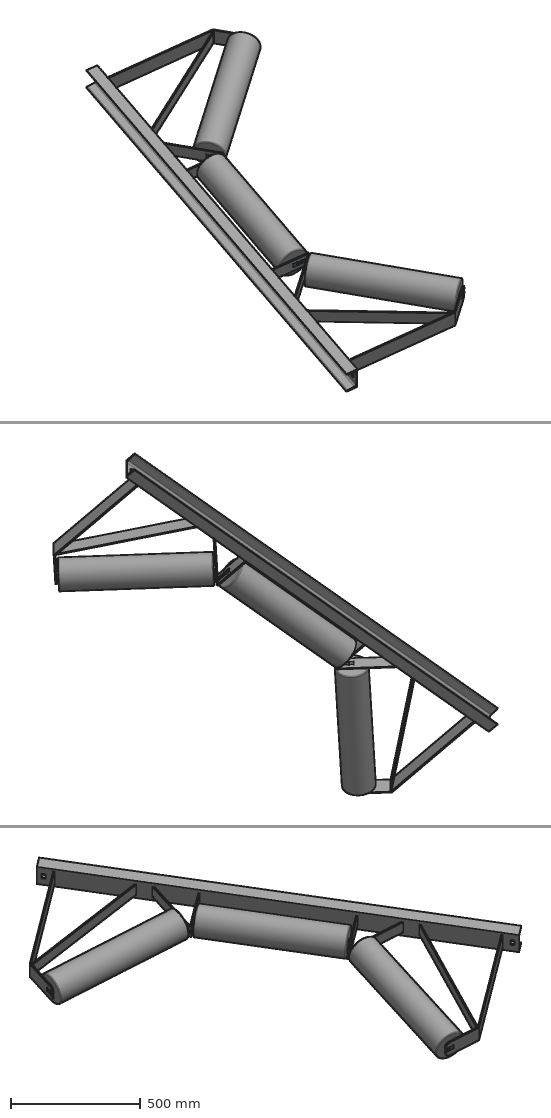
import cadquery as cq
import math


beam_length = 1900.0
beam_height = 100.0
beam_width = 50.0
web_thickness = 6.0
flange_thickness = 8.5
flange_slope = 0.08
root_radius = 8.5
toe_radius = 4.5
mount_slot_width = 17.0
mount_slot_height = 28.0
mount_slot_x = 923.0

roller_radius = 66.0
roller_length = 600.0
roller_edge = 4.0
tongue = 17.0
trough_angle = 45.0
center_roller_y = 163.0
wing_roller_x = 574.0
wing_roller_y = 405.0

plate = 6.0
end_gap = 8.0
outer_plate_width = 75.0
inner_plate_width = 59.0
strut_width = 59.0
leg_x = 885.0
tip_reach = 30.0
tip_radius = 23.0
apex_y = 226.0
strut_foot_x = 560.0

plate_near = roller_length / 2 + end_gap
plate_far = plate_near + plate
plate_middle = plate_near + plate / 2
tilt = math.radians(trough_angle)
along = (math.cos(tilt), math.sin(tilt))
across = (-math.sin(tilt), math.cos(tilt))


def wing_point(u, v):
    """XY point at u along and v across the right wing roller axis."""
    return (
        wing_roller_x + u * along[0] + v * across[0],
        wing_roller_y + u * along[1] + v * across[1],
    )


def wing_point_at_x(u, x):
    """Point with the given X on the line across the wing axis at u."""
    return wing_point(u, (x - wing_point(u, 0)[0]) / across[0])


def wing_point_at_y(u, y):
    """Point with the given Y on the line across the wing axis at u."""
    return wing_point(u, (y - wing_point(u, 0)[1]) / across[1])


def place_on_center(shape):
    """Move a shape built about the origin along X onto the center roller axis."""
    return shape.translate((0, center_roller_y, 0))


def place_on_wing(shape):
    """Move a shape built about the origin along X onto the right wing roller axis."""
    turned = shape.rotate((0, 0, 0), (0, 0, 1), trough_angle)
    return turned.translate((wing_roller_x, wing_roller_y, 0))


def extrude_outline(points, width):
    """Plate with the given XY outline and its width centered on Z = 0."""
    return cq.Workplane("XY").workplane(offset=-width / 2).polyline(points).close().extrude(width)


def fillet_edge_at(shape, point, radius):
    """Fillet the one edge whose middle is nearest to the point."""
    return shape.edges(cq.selectors.NearestToPointSelector(point)).fillet(radius)


def make_beam():
    half_height = beam_height / 2
    web_y = beam_width - web_thickness
    toe_z = half_height - flange_thickness + flange_slope * beam_width / 2
    root_z = toe_z - flange_slope * web_y
    section = [
        (0, half_height),
        (beam_width, half_height),
        (beam_width, -half_height),
        (0, -half_height),
        (0, -toe_z),
        (web_y, -root_z),
        (web_y, root_z),
        (0, toe_z),
    ]
    start = cq.Workplane("YZ").workplane(offset=-beam_length / 2)
    beam = start.polyline(section).close().extrude(beam_length)
    for side in (-1, 1):
        beam = fillet_edge_at(beam, (0, web_y, side * root_z), root_radius)
        beam = fillet_edge_at(beam, (0, 0, side * toe_z), toe_radius)
    slots = (
        cq.Workplane("XZ")
        .pushPoints([(-mount_slot_x, 0), (mount_slot_x, 0)])
        .slot2D(mount_slot_height, mount_slot_width, 90)
        .extrude(-beam_width)
    )
    return beam.cut(slots)


def make_roller():
    """Roller along X about the origin, with square shaft ends flush with the plates' far faces."""
    start = cq.Workplane("YZ").workplane(offset=-roller_length / 2)
    barrel = start.circle(roller_radius).extrude(roller_length)
    barrel = barrel.edges("%CIRCLE").fillet(roller_edge)
    shaft = cq.Workplane("XY").box(2 * plate_far, tongue, tongue)
    return barrel.union(shaft)


def shaft_slot(u, reach):
    """Cutter at u along X that seats a shaft end and stays open up to reach."""
    depth = reach + tongue / 2
    return cq.Workplane("XY").box(2 * plate, depth, tongue).translate((u, reach - depth / 2, 0))


def make_outer_bracket():
    """Leg on the beam, bent at the top to hold the upper end of the right wing roller."""
    leg_inner_x = leg_x - plate
    outline = [
        (leg_x, beam_width),
        wing_point_at_x(plate_far, leg_x),
        wing_point(plate_far, tip_reach),
        wing_point(plate_near, tip_reach),
        wing_point_at_x(plate_near, leg_inner_x),
        (leg_inner_x, beam_width),
    ]
    bracket = extrude_outline(outline, outer_plate_width)
    tip_x, tip_y = wing_point(plate_middle, tip_reach)
    for side in (-1, 1):
        bracket = fillet_edge_at(bracket, (tip_x, tip_y, side * outer_plate_width / 2), tip_radius)
    slot_reach = 2 * tip_reach
    return bracket.cut(place_on_wing(shaft_slot(plate_middle, slot_reach)))


def make_strut():
    """Brace from the beam to the inside corner of the outer bracket, fitted to both its faces."""
    leg_inner_x = leg_x - plate
    corner = wing_point_at_x(plate_near, leg_inner_x)
    slope = math.atan2(corner[1] - beam_width, corner[0] - strut_foot_x)
    half_foot = plate / 2 / math.sin(slope)
    leg_drop = plate / 2 / math.cos(slope)
    arm_rise = plate / 2 / math.sin(math.pi / 2 + tilt - slope)
    outline = [
        (strut_foot_x - half_foot, beam_width),
        (strut_foot_x + half_foot, beam_width),
        (leg_inner_x, corner[1] - leg_drop),
        corner,
        (corner[0] + arm_rise * across[0], corner[1] + arm_rise * across[1]),
    ]
    return extrude_outline(outline, strut_width)


def make_inner_bracket():
    """Bent plate holding the right end of the center roller and the lower end of the right wing."""
    outline = [
        (plate_near, beam_width),
        (plate_near, apex_y),
        wing_point_at_y(-plate_near, apex_y),
        wing_point_at_y(-plate_near, beam_width),
        wing_point_at_y(-plate_far, beam_width),
        wing_point_at_x(-plate_far, plate_far),
        (plate_far, beam_width),
    ]
    bracket = extrude_outline(outline, inner_plate_width)
    slot_reach = apex_y - center_roller_y + plate
    bracket = bracket.cut(place_on_center(shaft_slot(plate_middle, slot_reach)))
    return bracket.cut(place_on_wing(shaft_slot(-plate_middle, slot_reach)))


beam = make_beam()
roller = make_roller()
center_roller = place_on_center(roller)
wing_roller = place_on_wing(roller)
outer_bracket = make_outer_bracket()
strut = make_strut()
inner_bracket = make_inner_bracket()

bodies = [beam.val(), center_roller.val()]
for body in (wing_roller, outer_bracket, strut, inner_bracket):
    bodies.append(body.val())
    bodies.append(body.mirror("YZ").val())

result = cq.Compound.makeCompound(bodies)